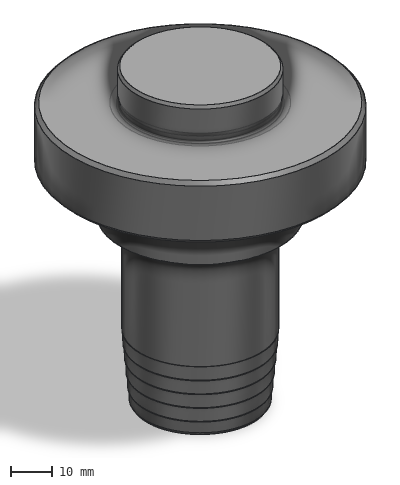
import cadquery as cq
import math

total_height = 92.5
boss_height = 10.0
flange_thickness = 17.0
collar_height = 14.0
flange_top = total_height - boss_height
flange_bottom = flange_top - flange_thickness
collar_bottom = flange_bottom - collar_height
tip_height = 20.0

flange_radius = 80.0 / 2
boss_radius = 20.0
collar_radius = 25.0
stem_radius = 19.0

edge_chamfer = 1.0
shoulder_angle = math.radians(30)
shoulder_fillet = 1.0
end_chamfer_height = 0.8
end_chamfer_depth = 0.6

relief_depth = 0.3
relief_height = 2.5
relief_taper_height = 1.0
relief_radius = 0.6
relief_floor_depth = 0.2
relief_outer_radius = 21.8

ring_count = 5
ring_pitch = tip_height / ring_count
ring_angle = math.radians(2)
tip_ledge = 0.14
bevel_height = 0.4
bevel_depth = 0.26
ring_drop = (ring_pitch - bevel_height) * math.tan(ring_angle)


def tip_points():
    """Outline points of the stepped tip, from the foot upward."""
    tip_top_radius = stem_radius - tip_ledge
    foot_radius = tip_top_radius - ring_count * ring_drop - (ring_count - 1) * bevel_depth
    points = [
        (foot_radius - end_chamfer_depth, 0),
        (foot_radius + end_chamfer_height * math.tan(ring_angle), end_chamfer_height),
    ]
    for index in range(1, ring_count):
        ring_top = index * ring_pitch
        ring_top_radius = foot_radius + index * ring_drop + (index - 1) * bevel_depth
        points.append((ring_top_radius, ring_top - bevel_height / 2))
        points.append((ring_top_radius + bevel_depth, ring_top + bevel_height / 2))
    points.append((tip_top_radius, tip_height))
    return points


def body_outline():
    """Half section of the turned body, from the foot up to the boss."""
    shoulder_bottom = collar_bottom - (collar_radius - stem_radius) * math.tan(shoulder_angle)
    arc_middle_angle = (math.pi / 2 - shoulder_angle) / 2
    setback = shoulder_fillet * math.tan(arc_middle_angle)
    arc_center_radius = stem_radius + shoulder_fillet
    arc_bottom = shoulder_bottom - setback
    arc_middle = (
        arc_center_radius - shoulder_fillet * math.cos(arc_middle_angle),
        arc_bottom + shoulder_fillet * math.sin(arc_middle_angle),
    )
    arc_end = (
        stem_radius + setback * math.cos(shoulder_angle),
        shoulder_bottom + setback * math.sin(shoulder_angle),
    )
    neck_radius = boss_radius - relief_depth
    relief_floor = flange_top - relief_floor_depth
    relief_top = flange_top + relief_height
    relief_arc_offset = relief_radius * (1 - math.sqrt(0.5))

    return (
        cq.Workplane("XZ")
        .polyline([(0, 0)] + tip_points())
        .lineTo(stem_radius, tip_height)
        .lineTo(stem_radius, arc_bottom)
        .threePointArc(arc_middle, arc_end)
        .lineTo(collar_radius, collar_bottom)
        .lineTo(collar_radius, flange_bottom)
        .lineTo(flange_radius - edge_chamfer, flange_bottom)
        .lineTo(flange_radius, flange_bottom + edge_chamfer)
        .lineTo(flange_radius, flange_top - edge_chamfer)
        .lineTo(flange_radius - edge_chamfer, flange_top)
        .lineTo(relief_outer_radius, flange_top)
        .lineTo(neck_radius + relief_radius, relief_floor)
        .threePointArc(
            (neck_radius + relief_arc_offset, relief_floor + relief_arc_offset),
            (neck_radius, relief_floor + relief_radius),
        )
        .lineTo(neck_radius, relief_top - relief_taper_height)
        .lineTo(boss_radius, relief_top)
        .lineTo(boss_radius, total_height - end_chamfer_height)
        .lineTo(boss_radius - end_chamfer_depth, total_height)
        .lineTo(0, total_height)
        .close()
    )


result = body_outline().revolve(360, (0, 0, 0), (0, 1, 0))